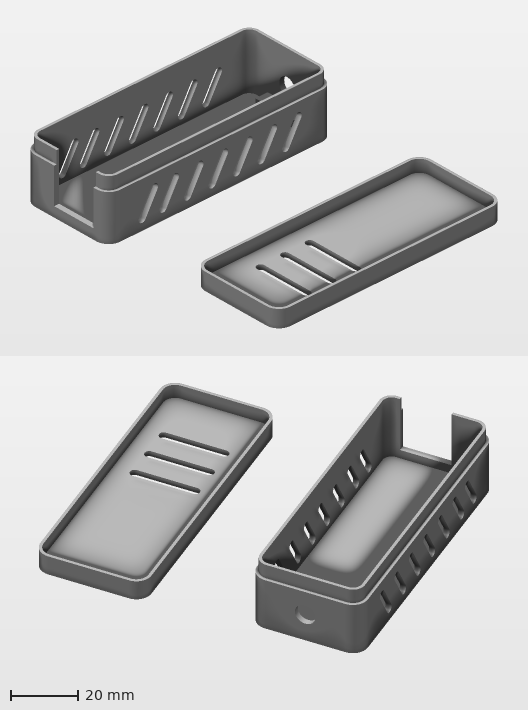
import cadquery as cq

length = 92.2
width = 36.6
corner_radius = 5.0
lip_wall = 1.0
lid_wall = 1.0
wall = lip_wall + lid_wall
floor_thickness = 0.9
shoulder_height = 18.2
lip_height = 5.0
base_height = shoulder_height + lip_height

notch_width = 17.0
notch_offset_x = 3.5
notch_sill = 4.0
cable_hole_diameter = 6.8
cable_hole_offset_x = 0.0
cable_hole_z = 9.7

stop_width = 18.2
stop_depth = 5.0
stop_top = notch_sill
stop_offset_x = 0.6

vent_width = 3.0
vent_center_spacing = 10.0
vent_tilt = 60.0
vent_z = 8.6
vent_pitch = 10.0
vent_count = 6
first_vent_y = 28.9
end_vent_y = -29.6

lid_height = 6.8
lid_floor = 1.9
lid_offset_x = 69.23
lid_offset_y = 4.4
lid_slot_length = 23.0
lid_slot_width = 3.0
lid_slot_pitch = 10.0
lid_slot_count = 3
lid_slot_offset_x = 0.25
first_lid_slot_y = -26.9


def rounded_block(inset, bottom, top):
    """Case outline moved inward by inset, from height bottom to height top."""
    return (
        cq.Workplane("XY", origin=(0, 0, bottom))
        .rect(width - 2 * inset, length - 2 * inset)
        .extrude(top - bottom)
        .edges("|Z")
        .fillet(corner_radius - inset)
    )


def side_vent(y):
    """Slanted slot cutter that crosses both side walls at position y."""
    return (
        cq.Workplane("YZ", origin=(0, y, vent_z))
        .slot2D(vent_center_spacing + vent_width, vent_width, vent_tilt)
        .extrude(width, both=True)
    )


def make_base():
    body = rounded_block(0, 0, shoulder_height)
    body = body.union(rounded_block(lid_wall, 0, base_height))
    body = body.cut(rounded_block(wall, floor_thickness, base_height))

    stop_y = length / 2 - wall - stop_depth / 2
    stop = (
        cq.Workplane("XY")
        .center(stop_offset_x, stop_y)
        .rect(stop_width, stop_depth)
        .extrude(stop_top)
    )
    body = body.union(stop)

    notch = (
        cq.Workplane("XY", origin=(notch_offset_x, -length / 2 + wall / 2, notch_sill))
        .rect(notch_width, wall)
        .extrude(base_height - notch_sill)
    )
    body = body.cut(notch)

    cable_hole = (
        cq.Workplane("XZ", origin=(cable_hole_offset_x, length / 2, cable_hole_z))
        .circle(cable_hole_diameter / 2)
        .extrude(wall)
    )
    body = body.cut(cable_hole)

    for index in range(vent_count):
        body = body.cut(side_vent(first_vent_y - index * vent_pitch))
    return body.cut(side_vent(end_vent_y))


def make_lid():
    body = rounded_block(0, 0, lid_height)
    body = body.cut(rounded_block(lid_wall, lid_floor, lid_height))
    for index in range(lid_slot_count):
        slot = (
            cq.Workplane("XY")
            .center(lid_slot_offset_x, first_lid_slot_y + index * lid_slot_pitch)
            .slot2D(lid_slot_length, lid_slot_width)
            .extrude(lid_floor)
        )
        body = body.cut(slot)
    return body.translate((lid_offset_x, lid_offset_y, 0))


base = make_base()
lid = make_lid()

result = cq.Compound.makeCompound([base.val(), lid.val()])